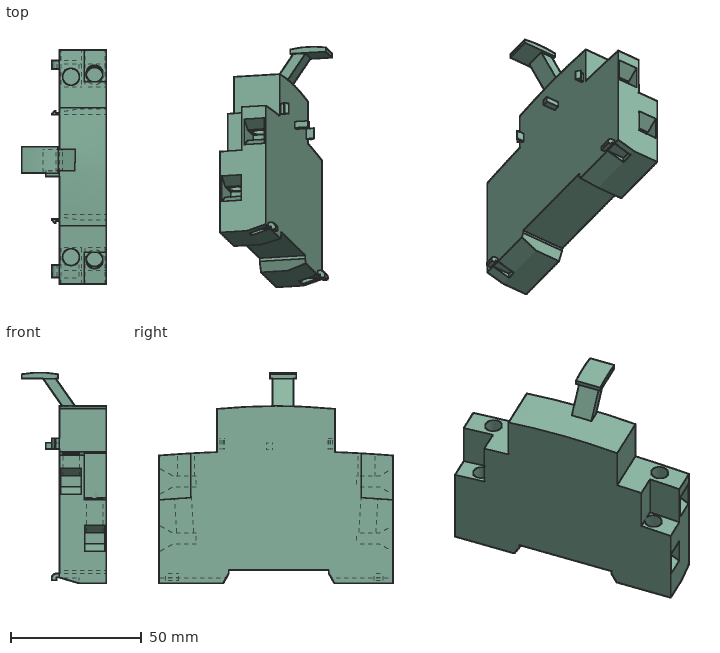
import cadquery as cq
import math

WIDTH = 18.0
LENGTH = 89.4
HALF_LENGTH = LENGTH / 2
SHOULDER_END_HEIGHT = 48.8
SHOULDER_RADIUS = 572.2
TOWER_HALF_LENGTH = 22.5
TOWER_EDGE_HEIGHT = 66.6
TOWER_CROWN_HEIGHT = 67.7

NOTCH_HEIGHT = 5.0
NOTCH_WALL_FOOT = 3.75
NOTCH_FRONT_Y = -18.0
NOTCH_BACK_Y = 20.1
NOTCH_FLARE = 2.15

BEVEL_WIDTH = 7.3
BEVEL_HEIGHT = 2.15

STEP_X = 9.5
STEP_LENGTH = 12.2
STEP_DROP = 17.0

FUNNEL_HEIGHT = 10.0
FUNNEL_TAPER = 2.95
FUNNEL_DEPTH = 5.4
TUNNEL_DEPTH = 14.0
SCREW_DIAMETER = 6.4
UPPER_FUNNEL_X = 0.5
UPPER_FUNNEL_WIDTH = 7.9
UPPER_FUNNEL_Z = 34.0
UPPER_SCREW_INSET = 10.3
LOWER_FUNNEL_X = 9.65
LOWER_FUNNEL_WIDTH = 7.6
LOWER_FUNNEL_Z = 12.2
LOWER_SCREW_INSET = 9.1
LOWER_SCREW_X = LOWER_FUNNEL_X + LOWER_FUNNEL_WIDTH / 2
SCREW_OVERRUN = 7.15

FASTENER_REACH = 2.95
HOOK_TOP = 3.75
HOOK_ARM_BOTTOM = 2.2
HOOK_TIP_BOTTOM = 1.1
HOOK_RADIUS = 1.9
HOOK_RANGES = ((-42.2, -37.4), (37.4, 40.7))
BARB_BOTTOM = 51.4
BARB_TOP = 55.4
BARB_INNER_Y = 19.85
BARB_STEM = 0.8
BARB_LIP = 0.9
BARB_NECK = 1.3
BARB_TIP = 0.3
BARB_LIP_FLAT = 0.4
PIN_REACH = 5.2
PIN_Y = -3.7
PIN_Z = 51.2
PIN_LENGTH = 2.3
PIN_HEIGHT = 2.4

LEVER_Y = 2.7
CAP_LENGTH = 10.1
CAP_LEFT = -14.4
CAP_RIGHT = -0.45
CAP_BOTTOM = 78.1
CAP_EDGE = 79.8
CAP_CROWN = 80.5
ARM_LENGTH = 8.1
ARM_WIDTH = 4.9
ARM_TOP_X = -6.3
ARM_LEAN = 0.7
ARM_FOOT_Z = 66.2

EMBED = 0.45


def shoulder_height(y):
    """Height of the shallow crowned shoulder at a given place along the length."""
    center_z = SHOULDER_END_HEIGHT - math.sqrt(SHOULDER_RADIUS**2 - HALF_LENGTH**2)
    return center_z + math.sqrt(SHOULDER_RADIUS**2 - y**2)


def box(x_range, y_range, z_range):
    size = [high - low for low, high in (x_range, y_range, z_range)]
    return cq.Workplane("XY").box(*size, centered=False).translate((x_range[0], y_range[0], z_range[0]))


def make_housing():
    shoulder_mid = (HALF_LENGTH + TOWER_HALF_LENGTH) / 2
    shoulder_root = shoulder_height(TOWER_HALF_LENGTH)
    return (
        cq.Workplane("YZ")
        .moveTo(-HALF_LENGTH, 0)
        .lineTo(NOTCH_FRONT_Y - NOTCH_FLARE, 0)
        .lineTo(NOTCH_FRONT_Y, NOTCH_WALL_FOOT)
        .lineTo(NOTCH_FRONT_Y, NOTCH_HEIGHT)
        .lineTo(NOTCH_BACK_Y, NOTCH_HEIGHT)
        .lineTo(NOTCH_BACK_Y, NOTCH_WALL_FOOT)
        .lineTo(NOTCH_BACK_Y + NOTCH_FLARE, 0)
        .lineTo(HALF_LENGTH, 0)
        .lineTo(HALF_LENGTH, SHOULDER_END_HEIGHT)
        .threePointArc((shoulder_mid, shoulder_height(shoulder_mid)), (TOWER_HALF_LENGTH, shoulder_root))
        .lineTo(TOWER_HALF_LENGTH, TOWER_EDGE_HEIGHT)
        .threePointArc((0, TOWER_CROWN_HEIGHT), (-TOWER_HALF_LENGTH, TOWER_EDGE_HEIGHT))
        .lineTo(-TOWER_HALF_LENGTH, shoulder_root)
        .threePointArc((-shoulder_mid, shoulder_height(shoulder_mid)), (-HALF_LENGTH, SHOULDER_END_HEIGHT))
        .close()
        .extrude(WIDTH)
    )


def make_bevel():
    """Wedge along the lower -X edge, with a square recess under each hook."""
    cutter = (
        cq.Workplane("XZ")
        .polyline([(0, 0), (BEVEL_WIDTH, 0), (0, BEVEL_HEIGHT)])
        .close()
        .extrude(HALF_LENGTH, both=True)
    )
    for y_range in HOOK_RANGES:
        cutter = cutter.union(box((0, BEVEL_WIDTH), y_range, (0, BEVEL_HEIGHT)))
    return cutter


def make_step():
    """Material removed above the lower terminal at the -Y end."""
    inner_y = STEP_LENGTH - HALF_LENGTH
    mid_y = inner_y - STEP_LENGTH / 2
    return (
        cq.Workplane("YZ", origin=(STEP_X, 0, 0))
        .moveTo(-HALF_LENGTH, SHOULDER_END_HEIGHT - STEP_DROP)
        .threePointArc(
            (mid_y, shoulder_height(mid_y) - STEP_DROP),
            (inner_y, shoulder_height(inner_y) - STEP_DROP),
        )
        .lineTo(inner_y, TOWER_EDGE_HEIGHT)
        .lineTo(-HALF_LENGTH, TOWER_EDGE_HEIGHT)
        .close()
        .extrude(WIDTH - STEP_X)
    )


def make_funnel(left_x, width, bottom_z):
    """Tapered wire entry in the -Y end that leads into a straight tunnel."""
    throat_y = FUNNEL_DEPTH - HALF_LENGTH
    tunnel_end_y = TUNNEL_DEPTH - HALF_LENGTH
    throat_low = bottom_z + FUNNEL_TAPER
    throat_high = bottom_z + FUNNEL_HEIGHT - FUNNEL_TAPER
    return (
        cq.Workplane("YZ", origin=(left_x, 0, 0))
        .polyline(
            [
                (-HALF_LENGTH, bottom_z),
                (throat_y, throat_low),
                (tunnel_end_y, throat_low),
                (tunnel_end_y, throat_high),
                (throat_y, throat_high),
                (-HALF_LENGTH, bottom_z + FUNNEL_HEIGHT),
            ]
        )
        .close()
        .extrude(width)
    )


def make_upper_screw_hole():
    """Vertical hole from the shoulder down into the upper tunnel."""
    center = (UPPER_FUNNEL_X + UPPER_FUNNEL_WIDTH / 2, UPPER_SCREW_INSET - HALF_LENGTH)
    floor_z = UPPER_FUNNEL_Z + FUNNEL_HEIGHT / 2
    return (
        cq.Workplane("XY", origin=(*center, floor_z))
        .circle(SCREW_DIAMETER / 2)
        .extrude(TOWER_EDGE_HEIGHT - floor_z)
    )


def make_lower_screw_hole():
    """Hole square to the sloping step surface, down into the lower tunnel."""
    mouth_y = LOWER_SCREW_INSET - HALF_LENGTH
    mouth_z = shoulder_height(mouth_y) - STEP_DROP
    tilt = math.asin(mouth_y / SHOULDER_RADIUS)
    depth = mouth_z - LOWER_FUNNEL_Z - FUNNEL_HEIGHT / 2
    mouth = cq.Plane(
        origin=(LOWER_SCREW_X, mouth_y, mouth_z),
        xDir=(1, 0, 0),
        normal=(0, math.sin(tilt), math.cos(tilt)),
    )
    return (
        cq.Workplane(mouth)
        .workplane(offset=-depth)
        .circle(SCREW_DIAMETER / 2)
        .extrude(depth + SCREW_OVERRUN)
    )


def make_terminal():
    """Everything removed from the -Y end."""
    return (
        make_step()
        .union(make_funnel(UPPER_FUNNEL_X, UPPER_FUNNEL_WIDTH, UPPER_FUNNEL_Z))
        .union(make_funnel(LOWER_FUNNEL_X, LOWER_FUNNEL_WIDTH, LOWER_FUNNEL_Z))
        .union(make_upper_screw_hole())
        .union(make_lower_screw_hole())
    )


def make_hook(y_range):
    """Rounded hook that reaches out of the -X side and points down."""
    front_y, back_y = y_range
    arc_center_x = HOOK_RADIUS - FASTENER_REACH
    arc_center_z = HOOK_TOP - HOOK_RADIUS
    tip_x = arc_center_x - math.sqrt(HOOK_RADIUS**2 - (arc_center_z - HOOK_TIP_BOTTOM) ** 2)
    return (
        cq.Workplane("XZ", origin=(0, back_y, 0))
        .moveTo(EMBED, HOOK_TOP)
        .lineTo(arc_center_x, HOOK_TOP)
        .threePointArc((-FASTENER_REACH, arc_center_z), (tip_x, HOOK_TIP_BOTTOM))
        .lineTo(arc_center_x, HOOK_TIP_BOTTOM)
        .lineTo(arc_center_x, HOOK_ARM_BOTTOM)
        .lineTo(EMBED, HOOK_ARM_BOTTOM)
        .close()
        .extrude(back_y - front_y)
    )


def make_barb():
    """Snap barb on the +Y half of the -X side, with its lip facing outward."""
    stem_outer_y = BARB_INNER_Y + BARB_STEM
    return (
        cq.Workplane("XY", origin=(0, 0, BARB_BOTTOM))
        .polyline(
            [
                (EMBED, BARB_INNER_Y),
                (-FASTENER_REACH, BARB_INNER_Y),
                (-FASTENER_REACH, BARB_INNER_Y + BARB_TIP),
                (-BARB_NECK - BARB_LIP_FLAT, stem_outer_y + BARB_LIP),
                (-BARB_NECK, stem_outer_y + BARB_LIP),
                (-BARB_NECK, stem_outer_y),
                (EMBED, stem_outer_y),
            ]
        )
        .close()
        .extrude(BARB_TOP - BARB_BOTTOM)
    )


def make_pin():
    return box((-PIN_REACH, EMBED), (PIN_Y, PIN_Y + PIN_LENGTH), (PIN_Z, PIN_Z + PIN_HEIGHT))


def make_lever():
    """Leaning arm that carries a thumb cap with a crowned top."""
    foot_x = ARM_TOP_X + ARM_LEAN * (CAP_BOTTOM - ARM_FOOT_Z)
    lever_plane = cq.Workplane("XZ", origin=(0, LEVER_Y, 0))
    arm = (
        lever_plane.polyline(
            [
                (ARM_TOP_X, CAP_BOTTOM),
                (ARM_TOP_X + ARM_WIDTH, CAP_BOTTOM),
                (foot_x + ARM_WIDTH, ARM_FOOT_Z),
                (foot_x, ARM_FOOT_Z),
            ]
        )
        .close()
        .extrude(ARM_LENGTH / 2, both=True)
    )
    cap = (
        lever_plane.moveTo(CAP_LEFT, CAP_BOTTOM)
        .lineTo(CAP_LEFT, CAP_EDGE)
        .threePointArc(((CAP_LEFT + CAP_RIGHT) / 2, CAP_CROWN), (CAP_RIGHT, CAP_EDGE))
        .lineTo(CAP_RIGHT, CAP_BOTTOM)
        .close()
        .extrude(CAP_LENGTH / 2, both=True)
    )
    return arm.union(cap)


terminal = make_terminal()
barb = make_barb()

result = make_housing().cut(make_bevel()).cut(terminal).cut(terminal.mirror("XZ"))
for hook_range in HOOK_RANGES:
    result = result.union(make_hook(hook_range))
result = result.union(barb).union(barb.mirror("XZ")).union(make_pin()).union(make_lever())